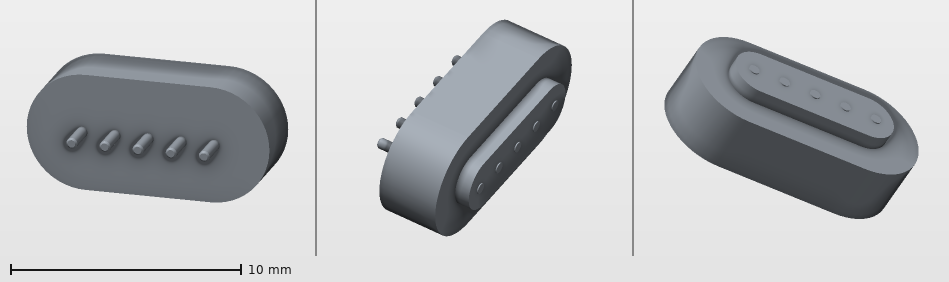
import cadquery as cq

body_length = 11.0
body_height = 5.3
body_depth = 2.88

boss_length = 7.8
boss_height = 2.5
boss_depth = 0.7

pin_count = 5
pin_row_length = 6.0
pin_diameter = 0.5
pin_front_length = 1.61
pin_back_length = 0.05
pin_chamfer = 0.08

pin_pitch = pin_row_length / (pin_count - 1)

boss_back = body_depth + boss_depth
pin_front = -pin_front_length
pin_length = pin_front_length + boss_back + pin_back_length


def obround(length, height, start, depth):
    """Obround prism running from Y = start towards +Y."""
    plane = cq.Workplane("XZ", origin=(0, start, 0))
    return plane.slot2D(length, height).extrude(-depth)


def pin(x):
    """Round pin along Y with a chamfered front tip."""
    plane = cq.Workplane("XZ", origin=(x, pin_front, 0))
    shaft = plane.circle(pin_diameter / 2).extrude(-pin_length)
    return shaft.faces("<Y").chamfer(pin_chamfer)


body = obround(body_length, body_height, 0, body_depth)
boss = obround(boss_length, boss_height, body_depth, boss_depth)
result = body.union(boss)

for index in range(pin_count):
    pin_x = index * pin_pitch - pin_row_length / 2
    result = result.union(pin(pin_x))